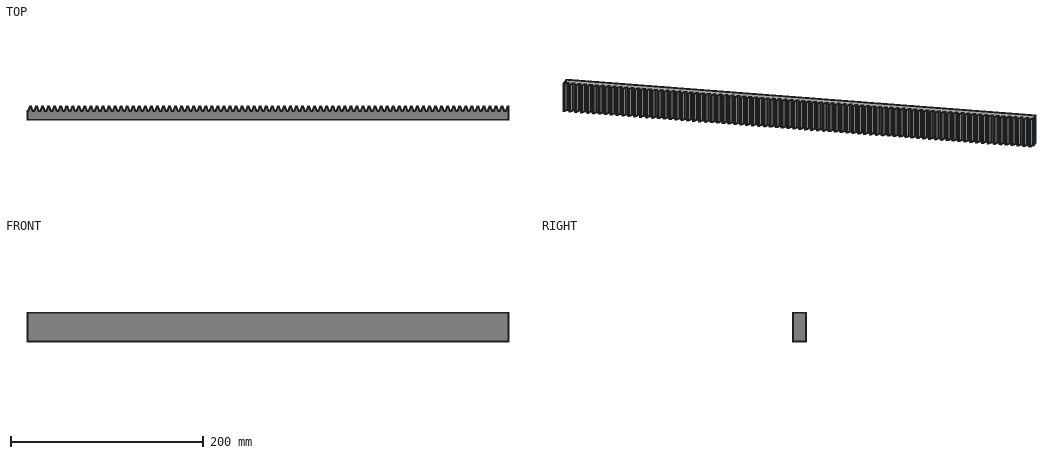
import cadquery as cq
import math

LENGTH = 500.0
FACE_WIDTH = 30.0
HEIGHT = 14.0
MODULE = 2.0
PRESSURE_ANGLE = 20.0
FLANK_BACKLASH = 0.2

DEDENDUM_FACTOR = 1.25
addendum = MODULE
dedendum = DEDENDUM_FACTOR * MODULE
tooth_height = addendum + dedendum
root_y = HEIGHT - tooth_height

pitch = math.pi * MODULE
flank_slope = math.tan(math.radians(PRESSURE_ANGLE))
half_pitch_thickness = pitch / 4 - FLANK_BACKLASH
half_tip = half_pitch_thickness - addendum * flank_slope
half_root = half_pitch_thickness + dedendum * flank_slope

first_tooth_x = pitch / 2
tooth_count = math.ceil((LENGTH - first_tooth_x + half_root) / pitch)


def rack_outline():
    """Side profile: flat back at y = 0, trapezoid teeth pointing to +Y."""
    points = [(0, 0), (0, root_y)]
    for index in range(tooth_count):
        center_x = first_tooth_x + index * pitch
        points += [
            (center_x - half_root, root_y),
            (center_x - half_tip, HEIGHT),
            (center_x + half_tip, HEIGHT),
            (center_x + half_root, root_y),
        ]
    points.append((points[-1][0], 0))
    return points


toothed_bar = cq.Workplane("XY").polyline(rack_outline()).close().extrude(FACE_WIDTH)

envelope = cq.Workplane("XY").box(LENGTH, HEIGHT, FACE_WIDTH, centered=False)
result = toothed_bar.intersect(envelope)